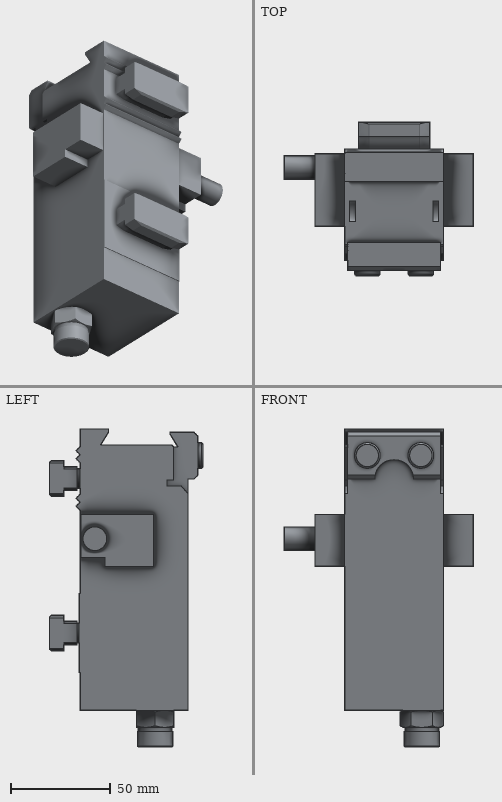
import cadquery as cq
import math


body_width = 50.0
body_back = 54.5
body_top = 142.0

recess_floor = 134.0
rail_lip_y = 40.0
rail_root_y = 44.0
lip_height = 1.6
floor_edge_chamfer = 1.0

jaw_width = 47.0
jaw_top = 140.4
jaw_lip_y = 9.2
jaw_lip_height = 0.9
jaw_root_y = 5.2
jaw_root_z = recess_floor - floor_edge_chamfer
jaw_overhang = 5.0
jaw_overhang_bottom = 116.7
jaw_chamfer = 2.0
jaw_relief_radius = 9.75
seat_y = 7.2
seat_foot_y = 10.6
seat_foot_top = 116.2
seat_foot_bottom = 113.3
seat_slope_y = 3.6
seat_front_z = 109.4
seat_outline = [
    (seat_y, seat_foot_top),
    (seat_foot_y, seat_foot_top),
    (seat_foot_y, seat_foot_bottom),
    (seat_slope_y, seat_foot_bottom),
    (0, seat_front_z),
]

screw_spacing = 27.0
screw_z = 128.6
screw_diameter = 13.0
screw_height = 2.67
screw_chamfer = 0.85

slot_spacing = 42.0
slot_width = 3.0
slot_length = 10.5
slot_y = 25.0
slot_disc_diameter = 13.0

tenon_heights = (39.0, 117.0)
tenon_back = 70.0
tenon_length = 36.0
tenon_flat_length = 25.4
tenon_head_height = 18.0
tenon_neck_height = 12.0
tenon_head_front = 62.7
tenon_neck_front = 55.9
tenon_taper = 1.3
tenon_chamfer = 1.0
tenon_pin_diameter = 10.0

pad_height = 40.0
pad_thickness = 0.5
tooth_depth = 2.0
tooth_pitch = 2 * tooth_depth
tooth_pair_offset = 12.0

blocks_width = 80.0
block_front = 17.3
block_back = 54.0
block_bottom = 72.6
block_top = 98.9
block_step_y = 42.0
block_step_z = 77.0
rod_end_x = -55.5
rod_diameter = 12.0
rod_y = 47.0
rod_z = 86.6

fitting_x = 14.0
fitting_y = 16.6
hex_across_flats = 19.0
hex_height = 8.6
hex_bevel_angle = 30.0
neck_diameter = 17.1
neck_height = 2.2
thread_diameter = 18.0
thread_chamfer = 0.5
fitting_length = 18.5


def side_extrusion(points, width):
    """Extrude a closed (Y, Z) outline along X, centred on X = 0."""
    return cq.Workplane("YZ").polyline(points).close().extrude(width / 2, both=True)


def cylinder_y(diameter, x, z, y_start, y_end):
    """Cylinder along Y between two Y positions."""
    plane = cq.Plane(origin=(x, y_start, z), xDir=(1, 0, 0), normal=(0, y_end - y_start, 0))
    return cq.Workplane(plane).circle(diameter / 2).extrude(abs(y_end - y_start))


def make_body():
    """Block with a dovetail recess on top and a seat for the jaw at the front."""
    outline = [
        (0, 0),
        (body_back, 0),
        (body_back, body_top),
        (rail_lip_y, body_top),
        (rail_lip_y, body_top - lip_height),
        (rail_root_y, recess_floor),
        (seat_y + floor_edge_chamfer, recess_floor),
        (seat_y, recess_floor - floor_edge_chamfer),
        *seat_outline,
    ]
    return side_extrusion(outline, body_width)


def make_slots():
    """Disc-shaped cutters for the two arc-bottomed slots."""
    half_length = slot_length / 2
    radius = slot_disc_diameter / 2
    disc_z = recess_floor + math.sqrt(radius**2 - half_length**2)
    cutters = cq.Workplane()
    for x in (-slot_spacing / 2, slot_spacing / 2):
        disc = cq.Workplane("YZ").center(slot_y, disc_z).circle(radius)
        cutters = cutters.add(disc.extrude(slot_width / 2, both=True).translate((x, 0, 0)))
    return cutters.combine()


def make_jaw():
    """Clamp jaw filling its seat, with a round relief under the overhang."""
    outline = [
        (jaw_lip_y, jaw_top),
        (jaw_lip_y, jaw_top - jaw_lip_height),
        (jaw_root_y, jaw_root_z),
        (seat_y, jaw_root_z),
        *seat_outline,
        (0, jaw_overhang_bottom),
        (jaw_chamfer - jaw_overhang, jaw_overhang_bottom),
        (-jaw_overhang, jaw_overhang_bottom + jaw_chamfer),
        (-jaw_overhang, jaw_top - jaw_chamfer),
        (jaw_chamfer - jaw_overhang, jaw_top),
    ]
    jaw = side_extrusion(outline, jaw_width)
    return jaw.cut(cylinder_y(2 * jaw_relief_radius, 0, jaw_overhang_bottom, 0, -jaw_overhang))


def make_screw(x):
    """Round screw head with a chamfered rim."""
    head = cylinder_y(screw_diameter, x, screw_z, -jaw_overhang, -jaw_overhang - screw_height)
    return head.faces("<Y").chamfer(screw_chamfer)


def tapered_bar(height, y_front, y_back):
    """Bar along X whose top and bottom slope inwards near both ends."""
    half = tenon_length / 2
    flat = tenon_flat_length / 2
    top = height / 2
    end = top - tenon_taper
    outline = [(-half, -end), (-flat, -top), (flat, -top), (half, -end)]
    outline += [(half, end), (flat, top), (-flat, top), (-half, end)]
    bar = cq.Workplane("XZ", origin=(0, y_back, 0)).polyline(outline).close()
    return bar.extrude(y_back - y_front)


def make_tenon(z):
    """T-shaped tenon with a pin joining it to the back of the body."""
    half_head = tenon_head_height / 2
    chamfer_start = tenon_back - tenon_chamfer
    chamfered_envelope = side_extrusion(
        [
            (tenon_head_front, -half_head),
            (chamfer_start, -half_head),
            (tenon_back, tenon_chamfer - half_head),
            (tenon_back, half_head - tenon_chamfer),
            (chamfer_start, half_head),
            (tenon_head_front, half_head),
        ],
        tenon_length,
    )
    head = tapered_bar(tenon_head_height, tenon_head_front, tenon_back).intersect(chamfered_envelope)
    neck = tapered_bar(tenon_neck_height, tenon_neck_front, tenon_head_front)
    pin = cylinder_y(tenon_pin_diameter, 0, 0, body_back, tenon_neck_front)
    return head.union(neck).union(pin).translate((0, 0, z))


def make_pad(z):
    """Thin raised pad across the back of the body."""
    pad = cq.Workplane("XY").box(body_width, pad_thickness, pad_height)
    return pad.translate((0, body_back + pad_thickness / 2, z))


def make_tooth_pair(z):
    """Two 45 degree teeth running across the back of the body."""
    outline = [
        (body_back, z - tooth_pitch),
        (body_back + tooth_depth, z - tooth_pitch / 2),
        (body_back, z),
        (body_back + tooth_depth, z + tooth_pitch / 2),
        (body_back, z + tooth_pitch),
    ]
    root = body_back - tooth_depth
    outline += [(root, z + tooth_pitch), (root, z - tooth_pitch)]
    return side_extrusion(outline, body_width)


def make_side_blocks():
    """Bar through the body that forms the stepped block on either side."""
    outline = [
        (block_front, block_bottom),
        (block_step_y, block_bottom),
        (block_step_y, block_step_z),
        (block_back, block_step_z),
        (block_back, block_top),
        (block_front, block_top),
    ]
    return side_extrusion(outline, blocks_width)


def make_rod():
    """Round rod standing out of the -X block."""
    block_face_x = -blocks_width / 2
    rod = cq.Workplane("YZ", origin=(rod_end_x, rod_y, rod_z)).circle(rod_diameter / 2)
    return rod.extrude(block_face_x - rod_end_x)


def make_fitting():
    """Bevelled hexagon, narrow neck and threaded end, pointing down."""
    corner_radius = hex_across_flats / math.sqrt(3)
    flat_radius = hex_across_flats / 2
    bevel = (corner_radius - flat_radius) * math.tan(math.radians(hex_bevel_angle))
    hexagon = cq.Workplane("XY").polygon(6, 2 * corner_radius).extrude(-hex_height)
    bevel_outline = [
        (0, 0),
        (flat_radius, 0),
        (corner_radius, -bevel),
        (corner_radius, bevel - hex_height),
        (flat_radius, -hex_height),
        (0, -hex_height),
    ]
    bevel_body = cq.Workplane("XZ").polyline(bevel_outline).close().revolve(360, (0, 0), (0, 1))
    neck_end = -hex_height - neck_height
    neck = cq.Workplane("XY").circle(neck_diameter / 2).extrude(neck_end)
    thread = cq.Workplane("XY", origin=(0, 0, neck_end)).circle(thread_diameter / 2)
    thread = thread.extrude(-fitting_length - neck_end).faces("<Z").chamfer(thread_chamfer)
    fitting = hexagon.intersect(bevel_body).union(neck).union(thread)
    return fitting.translate((fitting_x, fitting_y, 0))


lower_tenon_z, upper_tenon_z = tenon_heights

result = make_body().cut(make_slots()).union(make_jaw())
for screw_x in (-screw_spacing / 2, screw_spacing / 2):
    result = result.union(make_screw(screw_x))
result = result.union(make_pad(lower_tenon_z))
for tooth_z in (upper_tenon_z - tooth_pair_offset, upper_tenon_z + tooth_pair_offset):
    result = result.union(make_tooth_pair(tooth_z))
for tenon_z in tenon_heights:
    result = result.union(make_tenon(tenon_z))
result = result.union(make_side_blocks()).union(make_rod()).union(make_fitting()).clean()